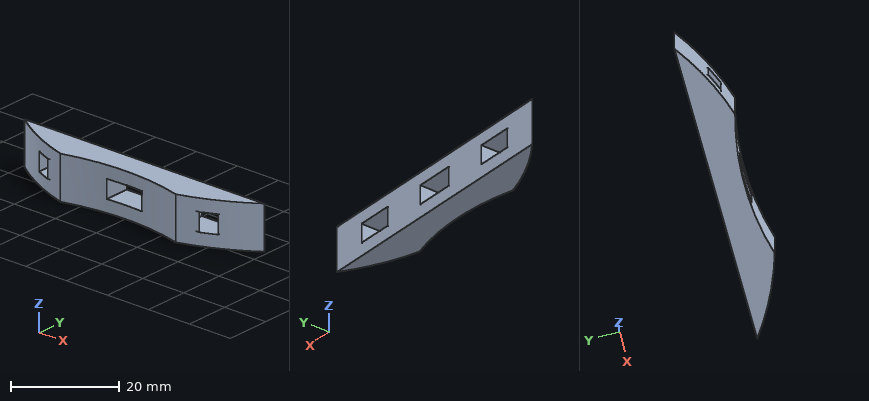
import cadquery as cq
import math

length = 58.65
depth = 7.5
height = 9.8

edge_x = 14.1
scoop_depth = 1.95

window_height = 4.1
center_window_width = 8.55
pocket_outer_x = 21.9
window_inner_x = 18.55
back_clearance = 0.6

half_length = length / 2

center_y = (half_length**2 - edge_x**2 - depth**2) / (2 * depth)
outer_radius = math.hypot(half_length, center_y)
mid_x = (half_length + edge_x) / 2


def outer_arc_y(x):
    """Y of the outer arc at a given X."""
    return center_y - math.sqrt(outer_radius**2 - x**2)


def make_body():
    """Crescent-shaped bar with its flat back on Y = 0, centred on Z = 0."""
    mid_y = outer_arc_y(mid_x)
    return (
        cq.Workplane("XY")
        .workplane(offset=-height / 2)
        .moveTo(-half_length, 0)
        .threePointArc((-mid_x, mid_y), (-edge_x, -depth))
        .threePointArc((0, scoop_depth - depth), (edge_x, -depth))
        .threePointArc((mid_x, mid_y), (half_length, 0))
        .close()
        .extrude(height)
    )


def make_cutout(x_start, x_end, y_front):
    """Box cutter of the window height, running from y_front out through the back."""
    return (
        cq.Workplane("XY")
        .box(x_end - x_start, -y_front + back_clearance, window_height, centered=(False, False, True))
        .translate((x_start, y_front, 0))
    )


half_center = center_window_width / 2
center_window = make_cutout(-half_center, half_center, -depth)

right_pocket = make_cutout(edge_x, pocket_outer_x, outer_arc_y(window_inner_x))
left_pocket = right_pocket.mirror("YZ")

result = make_body().cut(center_window).cut(right_pocket).cut(left_pocket)